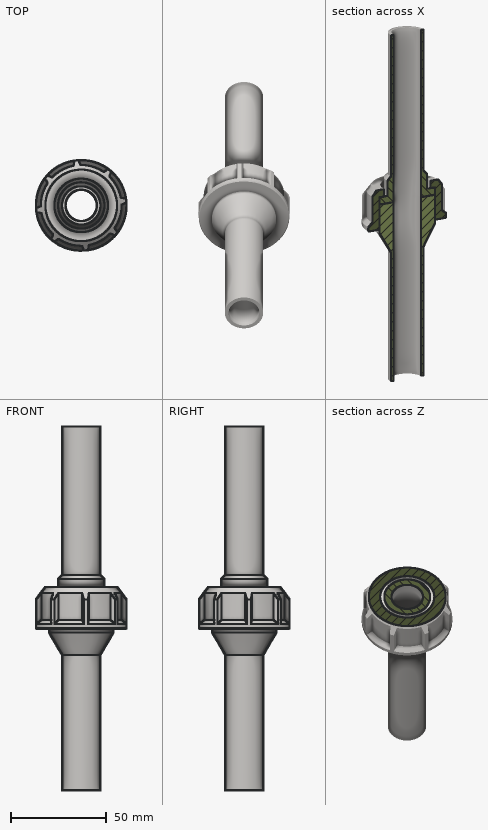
import cadquery as cq
import math

total_length = 190.0
pipe_radius = 10.0
bore_radius = 8.1

flare_start_z = 70.8
flare_end_z = 82.3
neck_radius = 16.8

nut_bottom_z = 84.3
nut_height = 22.0
nut_top_z = nut_bottom_z + nut_height
nut_radius = 23.68
nut_bottom_chamfer = 0.5
nut_top_radius = 18.7
nut_cone_height = 6.6
nut_opening_radius = 14.0
nut_lip_thickness = 4.0

rib_count = 8
rib_start_angle = 6.0
rib_tip_width = 2.1
rib_draft_angle = 16.0
pocket_floor_radius = 21.1
pocket_bottom_z = 86.9
pocket_slope_height = 2.1
pocket_overcut = 1.0

collar_radius = 12.1
collar_chamfer = collar_radius - pipe_radius
collar_top_z = 112.5
flange_thickness = 4.0
flange_top_z = nut_top_z - nut_lip_thickness
seal_z = flange_top_z - flange_thickness


def revolve_profile(points):
    """Turn a closed (radius, height) outline around the Z axis."""
    return cq.Workplane("XZ").polyline(points).close().revolve(360, (0, 0, 0), (0, 1, 0))


def make_lower_end():
    return revolve_profile([
        (bore_radius, 0),
        (pipe_radius, 0),
        (pipe_radius, flare_start_z),
        (neck_radius, flare_end_z),
        (neck_radius, seal_z),
        (bore_radius, seal_z),
    ])


def make_upper_end():
    return revolve_profile([
        (bore_radius, seal_z),
        (neck_radius, seal_z),
        (neck_radius, flange_top_z),
        (collar_radius, flange_top_z),
        (collar_radius, collar_top_z - collar_chamfer),
        (pipe_radius, collar_top_z),
        (pipe_radius, total_length),
        (bore_radius, total_length),
    ])


def make_nut_blank():
    return revolve_profile([
        (neck_radius, nut_bottom_z),
        (nut_radius - nut_bottom_chamfer, nut_bottom_z),
        (nut_radius, nut_bottom_z + nut_bottom_chamfer),
        (nut_radius, nut_top_z - nut_cone_height),
        (nut_top_radius, nut_top_z),
        (nut_opening_radius, nut_top_z),
        (nut_opening_radius, flange_top_z),
        (neck_radius, flange_top_z),
    ])


def make_rib():
    """Drafted bar along Z, widening inward from its tip at the nut's outer radius."""
    rib_depth = nut_radius - pocket_floor_radius
    draft_slope = math.tan(math.radians(rib_draft_angle))
    inner_radius = pocket_floor_radius - rib_depth
    outer_radius = nut_radius + rib_depth
    inner_half_width = rib_tip_width / 2 + (nut_radius - inner_radius) * draft_slope
    outer_half_width = rib_tip_width / 2 - (outer_radius - nut_radius) * draft_slope
    return (
        cq.Workplane("XY", origin=(0, 0, nut_bottom_z))
        .polyline([
            (inner_radius, -inner_half_width),
            (outer_radius, -outer_half_width),
            (outer_radius, outer_half_width),
            (inner_radius, inner_half_width),
        ])
        .close()
        .extrude(nut_height)
    )


def make_pockets():
    """Ring outside the pocket floor, interrupted by the ribs."""
    pockets = revolve_profile([
        (pocket_floor_radius, pocket_bottom_z + pocket_slope_height),
        (nut_radius, pocket_bottom_z),
        (nut_radius + pocket_overcut, pocket_bottom_z),
        (nut_radius + pocket_overcut, nut_top_z),
        (pocket_floor_radius, nut_top_z),
    ])
    rib = make_rib()
    for index in range(rib_count):
        angle = rib_start_angle + index * 360 / rib_count
        pockets = pockets.cut(rib.rotate((0, 0, 0), (0, 0, 1), angle))
    return pockets


lower_end = make_lower_end()
upper_end = make_upper_end()
nut = make_nut_blank().cut(make_pockets())

result = cq.Compound.makeCompound([lower_end.val(), upper_end.val(), *nut.solids().vals()])